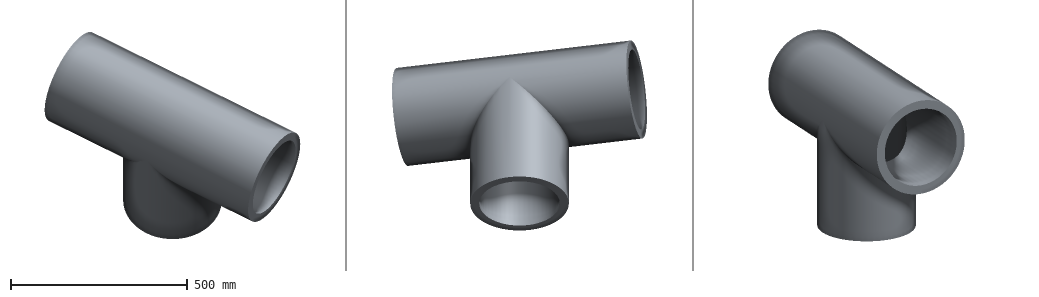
import cadquery as cq

run_length = 680.0
outer_diameter = 280.0
bore_diameter = 229.0
total_height = 480.0

branch_length = total_height - outer_diameter / 2


def run_cylinder(diameter):
    """Cylinder along X, centred on the origin."""
    return cq.Workplane("YZ").circle(diameter / 2).extrude(run_length / 2, both=True)


def branch_cylinder(diameter):
    """Cylinder from the run axis down to the branch end."""
    return cq.Workplane("XY").circle(diameter / 2).extrude(-branch_length)


def tee(diameter):
    """Run and branch of the same diameter joined together."""
    return run_cylinder(diameter).union(branch_cylinder(diameter))


result = tee(outer_diameter).cut(tee(bore_diameter))